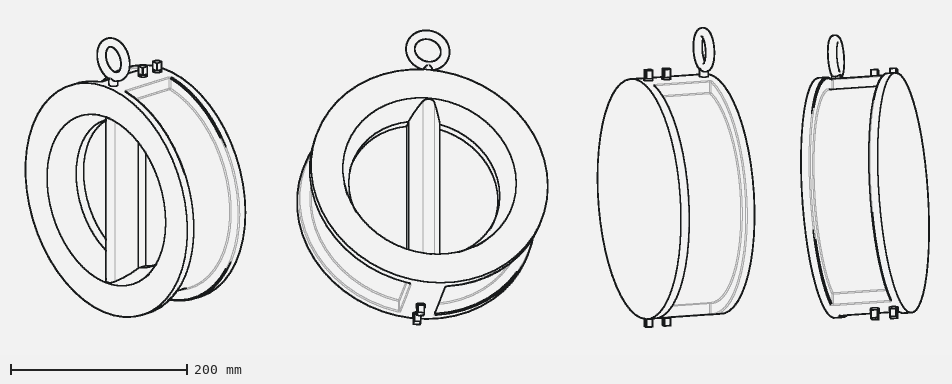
import cadquery as cq
import math

body_diameter = 273.0
body_radius = body_diameter / 2
body_length = 89.0
front_y = -body_length / 2

flange_thickness = 10.5
recess_floor_radius = 122.5
pad_width = 40.8
recess_fillet = 1.5

mouth_radius = 100.0
mouth_sphere_radius = 102.0
seat_radius = 87.0
plate_y = -0.5

bar_width = 36.0
bar_straight_depth = 12.0
nose_radius = 7.5
nose_y = -35.5

pin_positions_y = (33.3, 11.5)
collar_radius = 5.0
collar_top = 138.7
pin_square = 7.8
pin_top = 148.0

overall_height = 340.0
eye_y = -33.5
eye_tube_radius = 5.0
eye_ring_radius = 20.0
eye_top = overall_height - pin_top
eye_centre_z = eye_top - eye_ring_radius - eye_tube_radius


def disc(radius, start_y, length):
    """Solid cylinder on the Y axis, running toward +Y from start_y."""
    return cq.Workplane("XZ", origin=(0, start_y, 0)).circle(radius).extrude(-length)


def side_recesses():
    """Ring sector pockets on both sides, parted by the top and bottom pads."""
    length = body_length - 2 * flange_thickness
    start_y = front_y + flange_thickness
    outside_radius = 2 * body_radius
    ring = disc(outside_radius, start_y, length).cut(disc(recess_floor_radius, start_y, length))
    pads = cq.Workplane("XY").box(pad_width, body_length, 2 * outside_radius)
    return ring.cut(pads)


def valve_body():
    """Solid disc with the side recesses, their edges and corners rounded."""
    recessed = disc(body_radius, front_y, body_length).cut(side_recesses())
    half_span = 2 * body_radius
    half_depth = (body_length - flange_thickness) / 2
    recess_edges = cq.selectors.BoxSelector(
        (-half_span, -half_depth, -half_span), (half_span, half_depth, half_span)
    )
    return recessed.edges(recess_edges).fillet(recess_fillet)


def bore():
    """Spherical mouth and straight seat, revolved about the Y axis."""
    mouth_angle = math.acos(mouth_radius / mouth_sphere_radius)
    seat_angle = math.acos(seat_radius / mouth_sphere_radius)
    middle_angle = (mouth_angle + seat_angle) / 2
    sphere_y = front_y - mouth_sphere_radius * math.sin(mouth_angle)
    seat_y = sphere_y + mouth_sphere_radius * math.sin(seat_angle)
    middle_x = mouth_sphere_radius * math.cos(middle_angle)
    middle_y = sphere_y + mouth_sphere_radius * math.sin(middle_angle)
    return (
        cq.Workplane("XY")
        .moveTo(0, front_y)
        .lineTo(mouth_radius, front_y)
        .threePointArc((middle_x, middle_y), (seat_radius, seat_y))
        .lineTo(seat_radius, plate_y)
        .lineTo(0, plate_y)
        .close()
        .revolve(360, (0, 0, 0), (0, 1, 0))
    )


def centre_bar():
    """Upright bar with straight roots and flanks tangent to a round nose."""
    half_width = bar_width / 2
    shoulder_y = plate_y - bar_straight_depth
    drop = shoulder_y - nose_y
    reach = math.hypot(half_width, drop)
    tangent_angle = math.atan2(drop, half_width) - math.acos(nose_radius / reach)
    tangent_x = nose_radius * math.cos(tangent_angle)
    tangent_y = nose_y + nose_radius * math.sin(tangent_angle)
    bar = (
        cq.Workplane("XY")
        .moveTo(-half_width, plate_y)
        .lineTo(-half_width, shoulder_y)
        .lineTo(-tangent_x, tangent_y)
        .threePointArc((0, nose_y - nose_radius), (tangent_x, tangent_y))
        .lineTo(half_width, shoulder_y)
        .lineTo(half_width, plate_y)
        .close()
        .extrude(mouth_radius, both=True)
    )
    return bar.intersect(bore())


def retaining_pin(pin_y):
    """Round pin squared off at both ends, reaching out of the top and the bottom."""
    axis = cq.Workplane("XY", origin=(0, pin_y, 0))
    shank = axis.circle(collar_radius).extrude(collar_top, both=True)
    rod = axis.circle(collar_radius).extrude(pin_top, both=True)
    square_bar = axis.rect(pin_square, pin_square).extrude(pin_top, both=True)
    return shank.union(rod.intersect(square_bar))


def lifting_eye():
    """Ring in the XZ plane on a round stem that stands on the top pad."""
    stem_base_z = body_radius - 2 * eye_tube_radius
    stem_length = eye_centre_z - eye_ring_radius - stem_base_z
    ring = cq.Solid.makeTorus(
        eye_ring_radius, eye_tube_radius, cq.Vector(0, eye_y, eye_centre_z), cq.Vector(0, 1, 0)
    )
    stem = cq.Workplane("XY", origin=(0, eye_y, stem_base_z)).circle(eye_tube_radius).extrude(stem_length)
    return stem.union(cq.Workplane(ring))


result = valve_body().cut(bore()).union(centre_bar()).union(lifting_eye())
for pin_y in pin_positions_y:
    result = result.union(retaining_pin(pin_y))